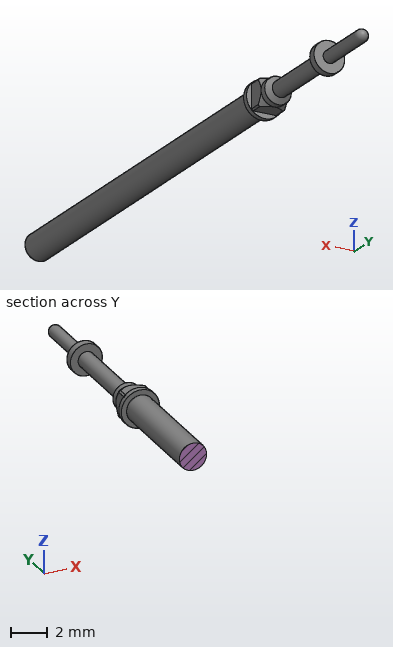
import cadquery as cq

length = 37.0
front_y = -length / 2
back_y = length / 2

body_diameter = 1.65
flange_diameter = 2.3
neck_diameter = 1.0
collar_diameter = 1.92
tip_diameter = 0.78

body_length = 25.42
body_chamfer_length = 0.3
body_chamfer_depth = 0.22

flange_length = 0.35
square_length = 1.07
square_corner_diameter = 2.22
square_lead_length = 0.35
shoulder_length = 0.4
shoulder_taper_length = 0.25

collar_length = 0.48
tip_length = 4.0

flange_y = front_y + body_length
square_y = flange_y + flange_length
shoulder_y = square_y + square_length
taper_y = shoulder_y + shoulder_length
neck_y = taper_y + shoulder_taper_length
collar_y = back_y - tip_length - collar_length


def cylinder(diameter, start_y, end_y):
    """Round section about the Y axis."""
    return cone(diameter, diameter, start_y, end_y)


def cone(start_diameter, end_diameter, start_y, end_y):
    """Tapered round section about the Y axis."""
    profile = [
        (0, start_y),
        (start_diameter / 2, start_y),
        (end_diameter / 2, end_y),
        (0, end_y),
    ]
    return cq.Workplane("XY").polyline(profile).close().revolve(360, (0, 0), (0, 1))


def make_body():
    """Long barrel with its front end tapered."""
    taper_end_y = front_y + body_chamfer_length
    end_diameter = body_diameter - 2 * body_chamfer_depth
    taper = cone(end_diameter, body_diameter, front_y, taper_end_y)
    return taper.union(cylinder(body_diameter, taper_end_y, flange_y))


def make_square():
    """Round blank with a tapered lead, cut to four flats as wide apart as the body diameter."""
    lead_y = shoulder_y - square_lead_length
    blank = cylinder(square_corner_diameter, square_y, lead_y)
    blank = blank.union(cone(square_corner_diameter, body_diameter, lead_y, shoulder_y))
    flats = cq.Workplane("XY").box(body_diameter, square_length, body_diameter)
    return blank.intersect(flats.translate((0, square_y + square_length / 2, 0)))


def make_shoulder():
    """Short round section that tapers down to the neck."""
    shoulder = cylinder(body_diameter, shoulder_y, taper_y)
    return shoulder.union(cone(body_diameter, neck_diameter, taper_y, neck_y))


def make_tip():
    """Thin contact tip with a hemispherical back end."""
    radius = tip_diameter / 2
    dome_y = back_y - radius
    dome = cq.Workplane("XY").sphere(radius).translate((0, dome_y, 0))
    return cylinder(tip_diameter, back_y - tip_length, dome_y).union(dome)


result = (
    make_body()
    .union(cylinder(flange_diameter, flange_y, square_y))
    .union(make_square())
    .union(make_shoulder())
    .union(cylinder(neck_diameter, neck_y, collar_y))
    .union(cylinder(collar_diameter, collar_y, collar_y + collar_length))
    .union(make_tip())
)